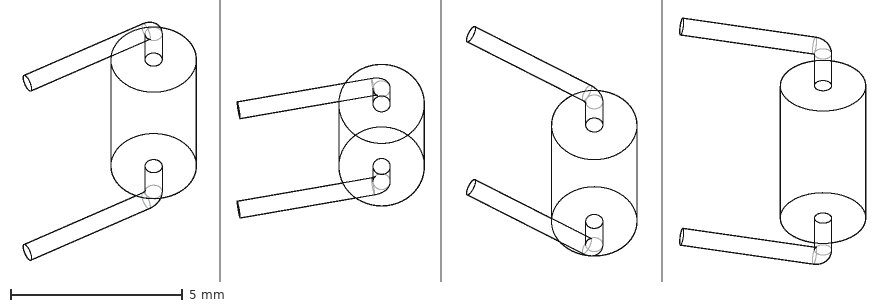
import cadquery as cq

overall_height = 8.12
body_diameter = 2.5
body_height = 4.8
lead_diameter = 0.5
overall_depth = 5.5
bend_inner_radius = 0.004

lead_radius = lead_diameter / 2
body_top = body_height / 2
lead_level = overall_height / 2 - lead_radius
bend_radius = lead_radius + bend_inner_radius
bend_level = lead_level - bend_radius
lead_end_y = body_diameter / 2 - overall_depth


def cylinder(diameter, bottom, height):
    return cq.Workplane("XY").workplane(offset=bottom).circle(diameter / 2).extrude(height)


def make_upper_lead():
    """Straight riser, quarter-turn bend with a nearly sharp inner corner, and horizontal leg."""
    riser = cylinder(lead_diameter, body_top, bend_level - body_top)
    bend = (
        cq.Workplane("XY")
        .workplane(offset=bend_level)
        .circle(lead_radius)
        .revolve(90, (-0.08, -bend_radius), (0.08, -bend_radius))
    )
    leg_length = -bend_radius - lead_end_y
    leg = (
        cq.Workplane("XZ", origin=(0, -bend_radius, lead_level))
        .circle(lead_radius)
        .extrude(leg_length)
    )
    return riser.union(bend).union(leg)


body = cylinder(body_diameter, -body_top, body_height)
upper_lead = make_upper_lead()
lower_lead = upper_lead.mirror("XY")

result = body.union(upper_lead).union(lower_lead)